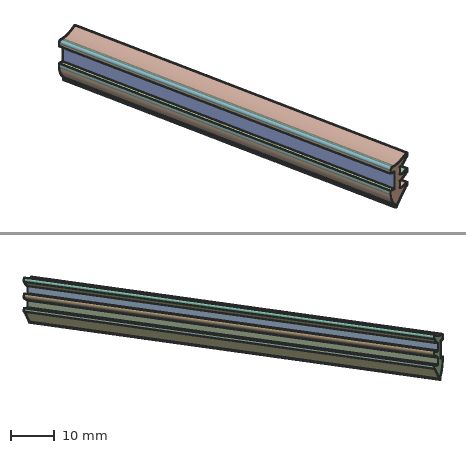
import cadquery as cq

LENGTH = 100.0
DEPTH = 6.0
HEIGHT = 12.7

WEB_FRONT = 1.3
WEB_BACK = 3.4

CHANNEL_BOTTOM = 5.0
CHANNEL_TOP = 9.4
LIP_TOP = 10.9
LIP_FRONT_RADIUS = 0.7
LIP_FLAT_BACK = 1.3

NOSE_START = 4.0
NOSE_MIDDLE = (0.5, 2.2)
NOSE_END = (1.7, 0.7)
BEAD_CENTER = 1.9
BEAD_RADIUS = 0.4
BEAD_BACK = (2.3, 0.4)

BARB_TIP_SAG = 0.4
LOWER_BARB_BOTTOM = 4.2
LOWER_BARB_TOP = 5.1
LOWER_BARB_ROOT = 4.4
MIDDLE_BARB_BOTTOM = 7.5
MIDDLE_BARB_TOP = 8.7
MIDDLE_BARB_ROOT_BOTTOM = 6.1
MIDDLE_BARB_ROOT_TOP = 7.9
UPPER_BARB_BOTTOM = 11.6
UPPER_BARB_ROOT = 9.7

LOWER_BARB_UNDERSIDE_MIDDLE = (3.9, 2.3)
LOWER_BARB_TOP_MIDDLE = (4.7, 4.6)
MIDDLE_BARB_TOP_MIDDLE = (4.6, 8.0)
UPPER_BARB_TOP_MIDDLE = (3.5, 11.5)
UPPER_BARB_UNDERSIDE_MIDDLE = (4.8, 10.7)

barb_shoulder = DEPTH - BARB_TIP_SAG


def add_barb_tip(profile, top, bottom):
    """Round the end of a barb, from its upper shoulder down to its lower one."""
    return profile.threePointArc((DEPTH, (top + bottom) / 2), (barb_shoulder, bottom))


def make_profile():
    """Closed section in the YZ plane, drawn upward along the front, then down the back."""
    profile = cq.Workplane("YZ").moveTo(BEAD_CENTER, 0)

    profile = (
        profile.threePointArc((BEAD_CENTER - BEAD_RADIUS, BEAD_RADIUS), NOSE_END)
        .threePointArc(NOSE_MIDDLE, (0, NOSE_START))
    )

    profile = (
        profile.lineTo(0, CHANNEL_BOTTOM)
        .lineTo(WEB_FRONT, CHANNEL_BOTTOM)
        .lineTo(WEB_FRONT, CHANNEL_TOP)
        .lineTo(0, CHANNEL_TOP)
        .lineTo(0, LIP_TOP - LIP_FRONT_RADIUS)
        .radiusArc((LIP_FRONT_RADIUS, LIP_TOP), LIP_FRONT_RADIUS)
        .lineTo(LIP_FLAT_BACK, LIP_TOP)
    )

    profile = profile.threePointArc(UPPER_BARB_TOP_MIDDLE, (barb_shoulder, HEIGHT))
    profile = add_barb_tip(profile, HEIGHT, UPPER_BARB_BOTTOM)
    profile = profile.threePointArc(UPPER_BARB_UNDERSIDE_MIDDLE, (WEB_BACK, UPPER_BARB_ROOT))

    profile = (
        profile.lineTo(WEB_BACK, MIDDLE_BARB_ROOT_TOP)
        .threePointArc(MIDDLE_BARB_TOP_MIDDLE, (barb_shoulder, MIDDLE_BARB_TOP))
    )
    profile = add_barb_tip(profile, MIDDLE_BARB_TOP, MIDDLE_BARB_BOTTOM)
    profile = profile.lineTo(WEB_BACK, MIDDLE_BARB_ROOT_BOTTOM)

    profile = (
        profile.lineTo(WEB_BACK, LOWER_BARB_ROOT)
        .threePointArc(LOWER_BARB_TOP_MIDDLE, (barb_shoulder, LOWER_BARB_TOP))
    )
    profile = add_barb_tip(profile, LOWER_BARB_TOP, LOWER_BARB_BOTTOM)
    profile = (
        profile.threePointArc(LOWER_BARB_UNDERSIDE_MIDDLE, BEAD_BACK)
        .radiusArc((BEAD_CENTER, 0), BEAD_RADIUS)
    )
    return profile.close()


result = make_profile().extrude(LENGTH)